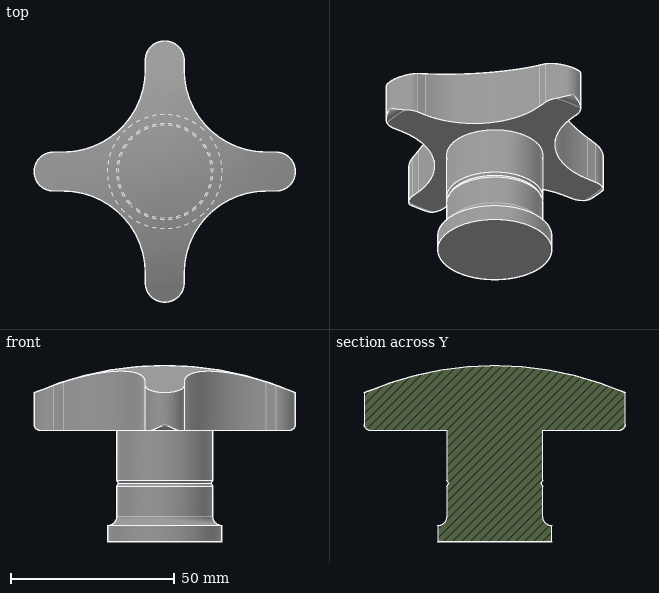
import cadquery as cq
import math

knob_diameter = 80.0
total_height = 54.0

foot_diameter = 35.0
foot_height = 5.0
stem_diameter = 29.5
foot_fillet = (foot_diameter - stem_diameter) / 2
groove_bottom = 17.0
groove_width = 1.8
groove_depth = 0.5

head_bottom = 34.0
dome_radius = 100.0
arm_width = 12.0
hollow_radius = 25.0
rim_fillet = 2.0

knob_radius = knob_diameter / 2
foot_radius = foot_diameter / 2
stem_radius = stem_diameter / 2
tip_radius = arm_width / 2


def make_stem():
    """Revolved stem with a foot, a filleted foot shoulder and a shallow V-shaped groove."""
    shoulder_top = foot_height + foot_fillet
    fillet_diagonal = foot_fillet * math.sqrt(0.5)
    profile = (
        cq.Workplane("XZ")
        .lineTo(foot_radius, 0)
        .lineTo(foot_radius, foot_height)
        .threePointArc(
            (foot_radius - fillet_diagonal, shoulder_top - fillet_diagonal),
            (stem_radius, shoulder_top),
        )
        .lineTo(stem_radius, groove_bottom)
        .lineTo(stem_radius - groove_depth, groove_bottom + groove_width / 2)
        .lineTo(stem_radius, groove_bottom + groove_width)
        .lineTo(stem_radius, head_bottom)
        .lineTo(0, head_bottom)
        .close()
    )
    return profile.revolve(360, (0, 0, 0), (0, 1, 0))


def make_cross():
    """Four-armed prism with round tips and round hollows between the arms."""
    hollow_center = tip_radius + hollow_radius
    tip_center = knob_radius - tip_radius
    hollow_middle = hollow_center - hollow_radius * math.sqrt(0.5)

    def turned(x, y, quarter):
        """Return the point turned by the given number of quarter turns about Z."""
        for _ in range(quarter):
            x, y = -y, x
        return x, y

    outline = cq.Workplane("XY").workplane(offset=head_bottom).moveTo(tip_center, -tip_radius)
    for quarter in range(4):
        outline = (
            outline.threePointArc(turned(knob_radius, 0, quarter), turned(tip_center, tip_radius, quarter))
            .lineTo(*turned(hollow_center, tip_radius, quarter))
            .threePointArc(
                turned(hollow_middle, hollow_middle, quarter),
                turned(tip_radius, hollow_center, quarter),
            )
            .lineTo(*turned(tip_radius, tip_center, quarter))
        )
    return outline.close().extrude(total_height - head_bottom)


def make_head_envelope():
    """Revolved body bounding the head: domed top and rounded lower rim."""

    def dome_height(radius):
        return total_height - dome_radius + math.sqrt(dome_radius**2 - radius**2)

    middle_radius = knob_radius / 2
    fillet_setback = rim_fillet * (1 - math.sqrt(0.5))
    profile = (
        cq.Workplane("XZ")
        .moveTo(0, head_bottom)
        .lineTo(knob_radius - rim_fillet, head_bottom)
        .threePointArc(
            (knob_radius - fillet_setback, head_bottom + fillet_setback),
            (knob_radius, head_bottom + rim_fillet),
        )
        .lineTo(knob_radius, dome_height(knob_radius))
        .threePointArc((middle_radius, dome_height(middle_radius)), (0, total_height))
        .close()
    )
    return profile.revolve(360, (0, 0, 0), (0, 1, 0))


head = make_cross().intersect(make_head_envelope())
result = make_stem().union(head)